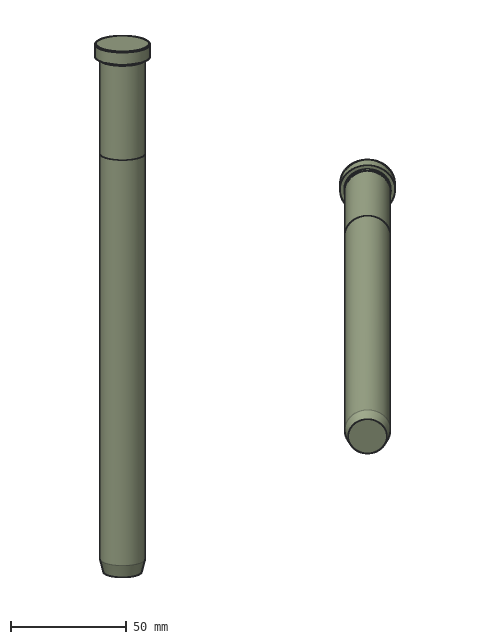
import cadquery as cq

total_length = 240.0
head_diameter = 24.0
head_thickness = 6.0
head_chamfer = 0.5
shank_diameter = 20.0
neck_depth = 0.5
neck_length = 1.2
neck_flare = 0.7
upper_length = 50.0
tip_length = 6.0
tip_diameter = 16.8

head_radius = head_diameter / 2
shank_radius = shank_diameter / 2
neck_radius = shank_radius - neck_depth
tip_radius = tip_diameter / 2
top_z = total_length / 2
bottom_z = -total_length / 2
head_underside_z = top_z - head_thickness
joint_z = top_z - upper_length
tip_start_z = bottom_z + tip_length


def revolve_about_z(outline):
    """Turn a closed outline of (radius, z) points into a solid about Z."""
    return cq.Workplane("XZ").polyline(outline).close().revolve(360, (0, 0), (0, 1))


def make_headed_section():
    """Chamfered head, relief neck and upper shank, ending flat at the joint."""
    return revolve_about_z([
        (0, top_z),
        (head_radius - head_chamfer, top_z),
        (head_radius, top_z - head_chamfer),
        (head_radius, head_underside_z),
        (neck_radius + neck_flare, head_underside_z),
        (neck_radius, head_underside_z - neck_flare),
        (shank_radius, head_underside_z - neck_length),
        (shank_radius, joint_z),
        (0, joint_z),
    ])


def make_guide_section():
    """Long lower shank with a tapered lead-in tip."""
    return revolve_about_z([
        (0, joint_z),
        (shank_radius, joint_z),
        (shank_radius, tip_start_z),
        (tip_radius, bottom_z),
        (0, bottom_z),
    ])


headed_section = make_headed_section()
guide_section = make_guide_section()

result = cq.Compound.makeCompound([headed_section.val(), guide_section.val()])